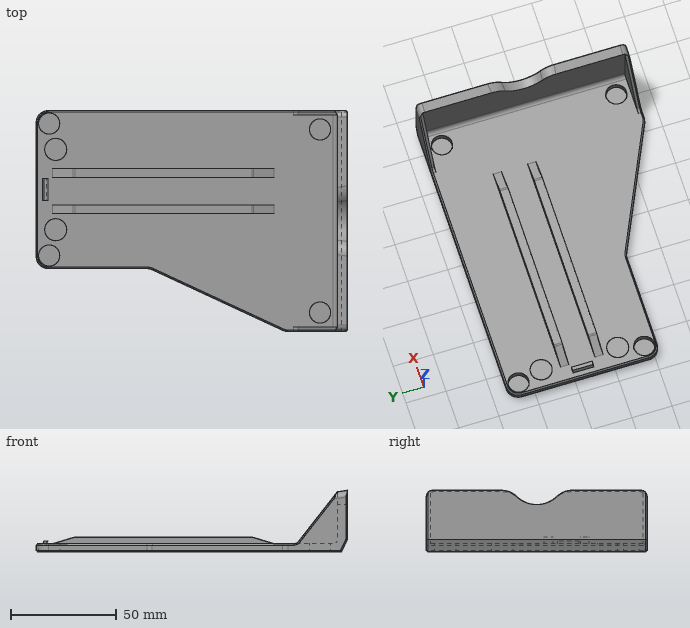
import cadquery as cq
import math

length = 148.0
width = 105.0
height = 29.3

plate_thickness = 3.8
step_y = 29.9
step_start_x = 54.0
step_end_x = 118.3
corner_radius = 5.9
edge_chamfer = 0.7

wall_thickness = 4.7
wall_front_x = length - wall_thickness
wall_top_drop = 0.7
wall_corner_radius = 3.1
back_relief_x = 2.8
back_relief_z = 5.8
gusset_start_x = 123.8
gusset_thickness = 2.0
gusset_root_radius = 3.0
floor_fillet = 2.0
cut_margin = 1.5

notch_depth = 6.8
notch_radius = 13.9
notch_shoulder_radius = 9.8

rail_start_x = 7.8
rail_length = 105.3
rail_ramp = 10.2
rail_height = 3.1
rail_width = 4.1
rail_centres_y = (58.1, 75.3)
rail_crest_radius = 3.0

ridge_x = 3.1
ridge_width = 1.8
ridge_lean = 0.7
ridge_y = 62.3
ridge_length = 10.4
ridge_height = 1.3

narrow_centre_y = (step_y + width) / 2
pocket_diameter = 10.0
pocket_depth = 3.1
pocket_x = 6.2
pocket_offset_y = 31.4
wall_pocket_x = 134.9
wall_pocket_offset_y = 43.5
recess_diameter = 10.5
recess_depth = 0.1
recess_x = 9.3
recess_offset_y = 19.1


def make_shell():
    """Side profile trimmed to the plan outline, with its outer edges chamfered."""
    profile = (
        cq.Workplane("XZ")
        .polyline([
            (0, 0),
            (length - back_relief_x, 0),
            (length, back_relief_z),
            (length, height),
            (wall_front_x, height - wall_top_drop),
            (gusset_start_x, plate_thickness),
            (0, plate_thickness),
        ])
        .close()
        .extrude(-width)
    )
    outline = (
        cq.Workplane("XY")
        .polyline([
            (0, step_y),
            (step_start_x, step_y),
            (step_end_x, 0),
            (length, 0),
            (length, width),
            (0, width),
        ])
        .close()
        .extrude(height)
        .edges("|Z and (not >X)")
        .fillet(corner_radius)
    )
    gusset_root = cq.selectors.NearestToPointSelector((gusset_start_x, width / 2, plate_thickness))
    shell = profile.edges(gusset_root).fillet(gusset_root_radius).intersect(outline)
    sides = shell.faces("<Y or >Y")
    return sides.edges("(not >Z) and ((not |Z) or >X)").chamfer(edge_chamfer)


def make_interior():
    """Space between the gussets, rounded where the wall meets the floor."""
    return (
        cq.Workplane("XY", origin=(step_end_x, gusset_thickness, plate_thickness))
        .box(wall_front_x - step_end_x, width - 2 * gusset_thickness, height, centered=False)
        .edges(">X and <Z")
        .fillet(floor_fillet)
    )


def wall_top_workplane():
    """Plane whose normal follows the slope of the wall top: local x is Y, origin at the back edge."""
    return cq.Workplane(cq.Plane(
        origin=(length, width / 2, height), xDir=(0, 1, 0), normal=(wall_thickness, 0, wall_top_drop)
    ))


def make_corner_waste(side):
    """Material outside the rounded wall corner on the side given by +1 or -1 along Y."""
    outer_y = side * width / 2
    inner_y = side * (width / 2 - wall_corner_radius)
    mid_offset = wall_corner_radius * (1 - math.sqrt(0.5))
    return (
        wall_top_workplane()
        .moveTo(inner_y, 0)
        .threePointArc((outer_y - side * mid_offset, -mid_offset), (outer_y, -wall_corner_radius))
        .lineTo(outer_y + side * cut_margin, -wall_corner_radius)
        .lineTo(outer_y + side * cut_margin, cut_margin)
        .lineTo(inner_y, cut_margin)
        .close()
        .extrude(2 * wall_thickness, both=True)
    )


def cut_notch(body):
    """Cut the level thumb hollow through the wall and round the two shoulders beside it."""
    hollow = (
        cq.Workplane("YZ", origin=(step_end_x, width / 2, height - notch_depth + notch_radius))
        .circle(notch_radius)
        .extrude(length)
    )
    shoulder_box = cq.selectors.BoxSelector(
        (wall_front_x, width / 2 - notch_radius, height - 2 * wall_top_drop),
        (length, width / 2 + notch_radius, height + wall_top_drop),
    )
    return body.cut(hollow).edges(shoulder_box).edges("not |Y").fillet(notch_shoulder_radius)


def make_rail(centre_y):
    """Guide rail with a ramp at each end and softened crests."""
    return (
        cq.Workplane("XZ", origin=(rail_start_x, centre_y + rail_width / 2, plate_thickness))
        .polyline([
            (0, 0),
            (rail_ramp, rail_height),
            (rail_length - rail_ramp, rail_height),
            (rail_length, 0),
        ])
        .close()
        .extrude(rail_width)
        .edges("|Y and >Z")
        .fillet(rail_crest_radius)
    )


def make_ridge():
    """Stop ridge leaning toward the wall."""
    return (
        cq.Workplane("XZ", origin=(ridge_x, ridge_y, plate_thickness))
        .polyline([
            (0, 0),
            (ridge_width, 0),
            (ridge_width + ridge_lean, ridge_height),
            (ridge_lean, ridge_height),
        ])
        .close()
        .extrude(-ridge_length)
    )


def make_pockets(points, diameter, depth):
    """Round blind pockets sunk from the plate top."""
    return (
        cq.Workplane("XY", origin=(0, 0, plate_thickness))
        .pushPoints(points)
        .circle(diameter / 2)
        .extrude(-depth)
    )


def mirrored_pair(x, centre_y, offset_y):
    """Two points at the same X, placed evenly about a centre line."""
    return [(x, centre_y - offset_y), (x, centre_y + offset_y)]


pocket_points = (
    mirrored_pair(pocket_x, narrow_centre_y, pocket_offset_y)
    + mirrored_pair(wall_pocket_x, width / 2, wall_pocket_offset_y)
)
recess_points = mirrored_pair(recess_x, narrow_centre_y, recess_offset_y)

result = cut_notch(make_shell().cut(make_interior()))
for side in (-1, 1):
    result = result.cut(make_corner_waste(side))
for rail_y in rail_centres_y:
    result = result.union(make_rail(rail_y))
result = result.union(make_ridge())
result = result.cut(make_pockets(pocket_points, pocket_diameter, pocket_depth))
result = result.cut(make_pockets(recess_points, recess_diameter, recess_depth))